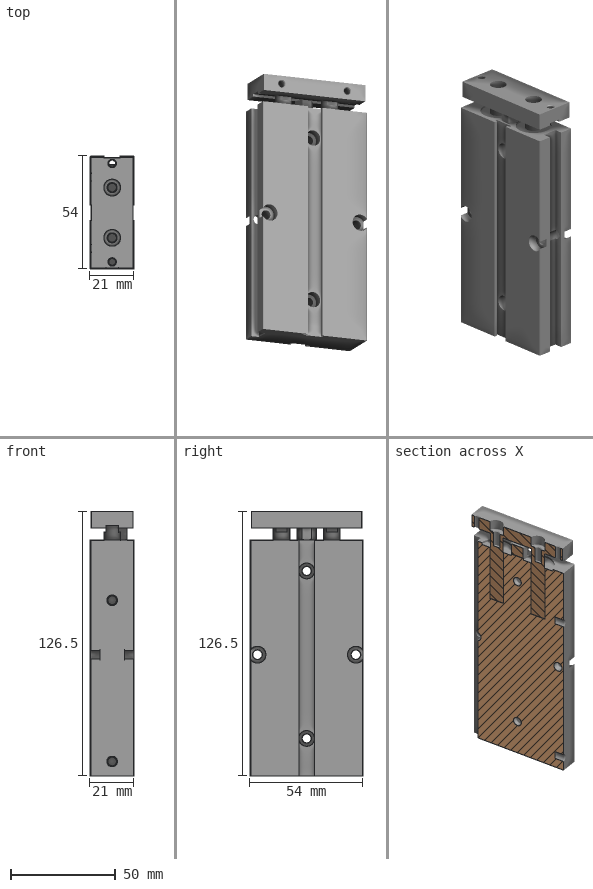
import cadquery as cq
import math

HOUSING_X = 21.0
HOUSING_Y = 54.0
HOUSING_Z = 112.75
HOUSING_EDGE_CHAMFER = 0.3

SIDE_GROOVE_WIDTH = 7.5
SIDE_GROOVE_LIP = 1.5
SIDE_GROOVE_INNER_WIDTH = 10.0
SIDE_GROOVE_DEPTH = 2.5

BACK_SLOT_WIDTH = 7.6
BACK_SLOT_DEPTH = 4.0

MOUNT_MID_Z = 58.0
MOUNT_PITCH_Z = 80.0
CENTRE_HOLE_DIAMETER = 4.3
CENTRE_COUNTERBORE_DIAMETER = 7.5
CENTRE_SEAT_DEPTH = 5.0
CENTRE_COUNTERBORE_DEPTH = SIDE_GROOVE_DEPTH + CENTRE_SEAT_DEPTH
EDGE_HOLE_DIAMETER = 4.5
EDGE_COUNTERBORE_DIAMETER = 8.0
EDGE_COUNTERBORE_DEPTH = 4.6
EDGE_HOLE_Y = 23.5

PORT_HEIGHTS = (7.0, 84.0)
PORT_DIAMETER = 4.13
PORT_MOUTH_DIAMETER = 5.0
PORT_DEPTH = 5.0

ROD_DIAMETER = 8.0
ROD_Y = 12.0
ROD_BORE_DEPTH = 30.0
ROD_FLAT_WIDTH = 6.0
ROD_FLAT_DROP = 2.0
GLAND_DIAMETER = 17.0
GLAND_DEPTH = 1.0

PLATE_X = 20.0
PLATE_Y = 52.7
PLATE_Z = 8.0
PLATE_GAP = 5.75
PLATE_BOTTOM = HOUSING_Z + PLATE_GAP
PLATE_TOP = PLATE_BOTTOM + PLATE_Z
PLATE_CHANNEL_DEPTH = 1.2

SCREW_POCKET_DIAMETER = 8.0
SCREW_POCKET_DEPTH = 5.0
SCREW_HOLE_DIAMETER = 4.13
SCREW_HOLE_MOUTH_DIAMETER = 4.8
SCREW_HOLE_DEPTH = 8.0

TAPPED_DIAMETER = 3.24
TAPPED_MOUTH_DIAMETER = 4.0
TOP_TAPPED_Y = 23.5
SIDE_TAPPED_Y = 17.0
SIDE_TAPPED_DEPTH = 6.0

STOP_X = 3.1
STOP_ACROSS_FLATS = 8.0
STOP_ACROSS_CORNERS = STOP_ACROSS_FLATS / math.cos(math.pi / 6)
STOP_CORNER_BEVEL = 0.5


def cylinder(diameter, depth, start, direction):
    """A cylinder running from a start point along a direction."""
    return cq.Workplane(cq.Solid.makeCylinder(diameter / 2, depth, cq.Vector(*start), cq.Vector(*direction)))


def tapped_hole(diameter, mouth_diameter, depth, start, direction):
    """Cutter for a hole with a 45 degree countersunk mouth at the start point."""
    mouth_depth = (mouth_diameter - diameter) / 2
    mouth = cq.Solid.makeCone(
        mouth_diameter / 2, diameter / 2, mouth_depth, cq.Vector(*start), cq.Vector(*direction)
    )
    return cylinder(diameter, depth, start, direction).union(cq.Workplane(mouth))


def block(size_x, size_y, size_z, bottom_centre):
    """A box placed by the centre of its bottom face."""
    box = cq.Workplane("XY").box(size_x, size_y, size_z, centered=(True, True, False))
    return box.translate(bottom_centre)


def mounting_hole(diameter, counterbore_diameter, counterbore_depth, y, z):
    """Cutter for a hole along X, counterbored from both sides."""
    half_x = HOUSING_X / 2
    cutter = cylinder(diameter, HOUSING_X, (-half_x, y, z), (1, 0, 0))
    for side in (-1, 1):
        counterbore = cylinder(
            counterbore_diameter, counterbore_depth, (side * half_x, y, z), (-side, 0, 0)
        )
        cutter = cutter.union(counterbore)
    return cutter


def make_housing():
    half_x = HOUSING_X / 2
    half_y = HOUSING_Y / 2
    body = block(HOUSING_X, HOUSING_Y, HOUSING_Z, (0, 0, 0))
    body = body.edges("|Z").chamfer(HOUSING_EDGE_CHAMFER)

    undercut_depth = SIDE_GROOVE_DEPTH - SIDE_GROOVE_LIP
    undercut_x = half_x - SIDE_GROOVE_LIP - undercut_depth / 2
    for side in (-1, 1):
        body = body.cut(block(2 * SIDE_GROOVE_DEPTH, SIDE_GROOVE_WIDTH, HOUSING_Z, (side * half_x, 0, 0)))
        body = body.cut(block(undercut_depth, SIDE_GROOVE_INNER_WIDTH, HOUSING_Z, (side * undercut_x, 0, 0)))

    body = body.cut(block(BACK_SLOT_WIDTH, 2 * BACK_SLOT_DEPTH, HOUSING_Z, (0, half_y, 0)))

    for end in (-1, 1):
        groove_z = MOUNT_MID_Z + end * MOUNT_PITCH_Z / 2
        body = body.cut(
            mounting_hole(
                CENTRE_HOLE_DIAMETER, CENTRE_COUNTERBORE_DIAMETER, CENTRE_COUNTERBORE_DEPTH, 0, groove_z
            )
        )
        edge_y = end * EDGE_HOLE_Y
        body = body.cut(
            mounting_hole(
                EDGE_HOLE_DIAMETER, EDGE_COUNTERBORE_DIAMETER, EDGE_COUNTERBORE_DEPTH, edge_y, MOUNT_MID_Z
            )
        )

    for z in PORT_HEIGHTS:
        port_start = (0, -half_y, z)
        body = body.cut(tapped_hole(PORT_DIAMETER, PORT_MOUTH_DIAMETER, PORT_DEPTH, port_start, (0, 1, 0)))

    for side in (-1, 1):
        mouth = (0, side * ROD_Y, HOUSING_Z)
        body = body.cut(cylinder(GLAND_DIAMETER, GLAND_DEPTH, mouth, (0, 0, -1)))
        body = body.cut(cylinder(ROD_DIAMETER, ROD_BORE_DEPTH, mouth, (0, 0, -1)))
    return body


def make_rod(y):
    """A round rod whose top end has two flats that fit the plate channel."""
    bottom = HOUSING_Z - ROD_BORE_DEPTH
    flats_bottom = PLATE_BOTTOM - ROD_FLAT_DROP
    flats_height = ROD_FLAT_DROP + PLATE_CHANNEL_DEPTH
    shank = cylinder(ROD_DIAMETER, flats_bottom - bottom, (0, y, bottom), (0, 0, 1))
    tongue = cylinder(ROD_DIAMETER, flats_height, (0, y, flats_bottom), (0, 0, 1))
    tongue = tongue.intersect(block(ROD_FLAT_WIDTH, ROD_DIAMETER, flats_height, (0, y, flats_bottom)))
    return shank.union(tongue)


def make_stop():
    """Hexagonal stop filling the gap, its lower corners bevelled."""
    turned_plane = cq.Plane(origin=(0, 0, 0), xDir=(0, 1, 0), normal=(0, 0, 1))
    hexagon = cq.Workplane(turned_plane).polygon(6, STOP_ACROSS_CORNERS).extrude(PLATE_GAP)
    rounding = cq.Workplane("XY").circle(STOP_ACROSS_CORNERS / 2).extrude(PLATE_GAP)
    rounding = rounding.faces("<Z").chamfer(STOP_CORNER_BEVEL)
    return hexagon.intersect(rounding).translate((STOP_X, 0, HOUSING_Z))


def make_end_plate():
    plate = block(PLATE_X, PLATE_Y, PLATE_Z, (0, 0, PLATE_BOTTOM))
    plate = plate.cut(block(ROD_FLAT_WIDTH, PLATE_Y, PLATE_CHANNEL_DEPTH, (0, 0, PLATE_BOTTOM)))
    plate = plate.union(make_stop())

    for side in (-1, 1):
        plate = plate.union(make_rod(side * ROD_Y))

        pocket_top = (0, side * ROD_Y, PLATE_TOP)
        pocket_floor = (0, side * ROD_Y, PLATE_TOP - SCREW_POCKET_DEPTH)
        plate = plate.cut(cylinder(SCREW_POCKET_DIAMETER, SCREW_POCKET_DEPTH, pocket_top, (0, 0, -1)))
        plate = plate.cut(
            tapped_hole(
                SCREW_HOLE_DIAMETER, SCREW_HOLE_MOUTH_DIAMETER, SCREW_HOLE_DEPTH, pocket_floor, (0, 0, -1)
            )
        )

        end_start = (0, side * TOP_TAPPED_Y, PLATE_TOP)
        plate = plate.cut(tapped_hole(TAPPED_DIAMETER, TAPPED_MOUTH_DIAMETER, PLATE_Z, end_start, (0, 0, -1)))

        side_start = (-PLATE_X / 2, side * SIDE_TAPPED_Y, PLATE_BOTTOM + PLATE_Z / 2)
        plate = plate.cut(
            tapped_hole(TAPPED_DIAMETER, TAPPED_MOUTH_DIAMETER, SIDE_TAPPED_DEPTH, side_start, (1, 0, 0))
        )
    return plate


housing = make_housing()
end_plate = make_end_plate()
result = cq.Compound.makeCompound([housing.val(), end_plate.val()])